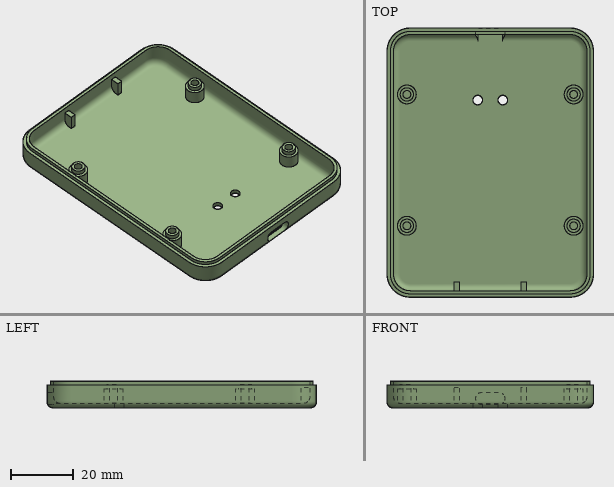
import cadquery as cq

length_x = 65.96
length_y = 85.95
total_height = 8.56
corner_radius = 7.5
bottom_fillet = 2.0

wall = 2.1
floor_thickness = 1.5
floor_fillet = 2.1
lip_height = 1.2
lip_inset = 1.1
body_height = total_height - lip_height

post_x = 26.6
post_y_back = 21.75
post_y_front = -20.15
post_diameter = 6.0
post_height = 4.5
spigot_diameter = 4.25
spigot_height = 1.5
post_bore = 2.5

floor_hole_diameter = 3.0
floor_hole_x = 4.0
floor_hole_y = 19.95

port_width = 9.4
port_height = 3.8
port_drop = 0.35

rib_x = 10.65
rib_width = 1.7
rib_length = 2.85
rib_height = 5.0


def rounded_block(inset, z_bottom, height):
    """Block following the outer outline, moved inward by inset."""
    return (
        cq.Workplane("XY", origin=(0, 0, z_bottom))
        .rect(length_x - 2 * inset, length_y - 2 * inset)
        .extrude(height)
        .edges("|Z")
        .fillet(corner_radius - inset)
    )


def tray():
    """Open tray with rounded bottom edges and a stepped rim."""
    body = rounded_block(0, 0, body_height).faces("<Z").edges().fillet(bottom_fillet)
    lip = rounded_block(lip_inset, body_height, lip_height)
    cavity = rounded_block(wall, floor_thickness, total_height - floor_thickness)
    cavity = cavity.faces("<Z").edges().fillet(floor_fillet)
    return body.union(lip).cut(cavity)


def posts():
    """Four stepped posts standing on the floor."""
    places = [(x, y) for x in (-post_x, post_x) for y in (post_y_front, post_y_back)]
    overlap = floor_thickness / 2
    base = (
        cq.Workplane("XY", origin=(0, 0, floor_thickness - overlap))
        .pushPoints(places)
        .circle(post_diameter / 2)
        .extrude(post_height + overlap)
    )
    spigot = (
        cq.Workplane("XY", origin=(0, 0, floor_thickness + post_height))
        .pushPoints(places)
        .circle(spigot_diameter / 2)
        .extrude(spigot_height)
    )
    bore = (
        cq.Workplane("XY", origin=(0, 0, floor_thickness))
        .pushPoints(places)
        .circle(post_bore / 2)
        .extrude(post_height + spigot_height)
    )
    return base.union(spigot).cut(bore)


def floor_holes():
    """Two holes through the floor."""
    return (
        cq.Workplane("XY")
        .pushPoints([(-floor_hole_x, floor_hole_y), (floor_hole_x, floor_hole_y)])
        .circle(floor_hole_diameter / 2)
        .extrude(floor_thickness)
    )


def port():
    """Slot-shaped opening through the back wall; the floor in front of it stays whole."""
    depth = wall + floor_fillet
    slot = (
        cq.Workplane("XZ", origin=(0, length_y / 2, floor_thickness - port_drop + port_height / 2))
        .slot2D(port_width, port_height)
        .extrude(depth)
    )
    kept_floor = cq.Workplane("XY", origin=(0, length_y / 2 - wall - floor_fillet / 2, 0)).box(
        port_width, floor_fillet, floor_thickness, centered=(True, True, False)
    )
    return slot.cut(kept_floor)


def ribs():
    """Two ribs running from the front wall over the floor fillet."""
    y_wall = -length_y / 2 + wall
    return (
        cq.Workplane("XY", origin=(0, y_wall + rib_length / 2, floor_thickness))
        .pushPoints([(-rib_x, 0), (rib_x, 0)])
        .rect(rib_width, rib_length)
        .extrude(rib_height)
    )


result = tray().union(posts()).union(ribs()).cut(floor_holes()).cut(port())